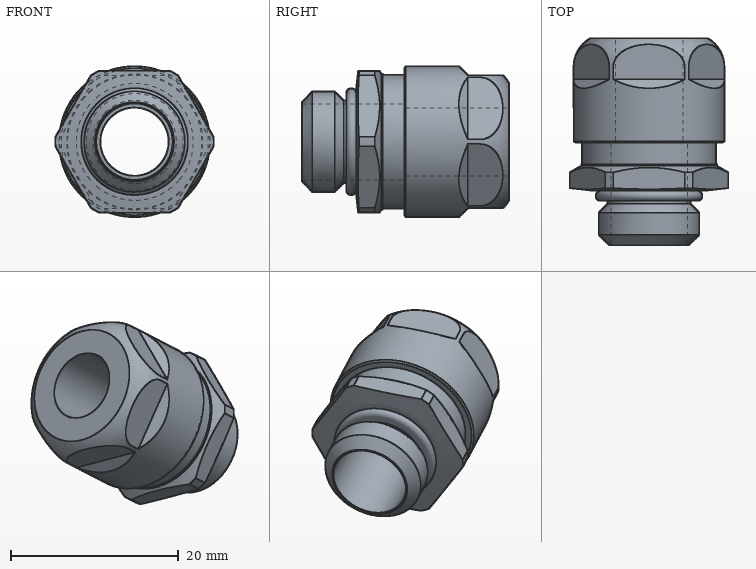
import cadquery as cq
import math

TIP_CHAMFER_END = 1.24
THREAD_END = 3.9
NECK_START = 4.96
HEX_FACE = 6.5
HEX_RIM_START = 6.82
HEX_RIM_END = 8.7
COLLAR_START = 9.63
NUT_START = 12.23
FLAT_START = 19.78
DOME_START = 21.22
LENGTH = 24.7

TIP_RADIUS = 4.72
THREAD_RADIUS = 12.0 / 2
NECK_RADIUS = 9.93 / 2
COLLAR_RADIUS = 16.0 / 2
NUT_RADIUS = 18.0 / 2
NUT_CHAMFER_WIDTH = 0.25
NUT_CHAMFER_LENGTH = 0.15
NUT_ACROSS_FLATS = 15.85
DOME_ARC_RADIUS = 4.0
HEX_CORNER_RADIUS = 18.9 / 2
HEX_ACROSS_FLATS = 16.9
HEX_FACE_RADIUS = 6.72
HEX_SHOULDER_RADIUS = 8.1
HEX_CHAMFER_ANGLE = 30
RING_OUTER_RADIUS = 6.37
RING_SECTION_RADIUS = 0.605
ENTRY_BORE_RADIUS = 9.1 / 2
THROUGH_BORE_RADIUS = 8.1 / 2

SIDES = 6


def revolve(profile):
    """Turn a half profile, drawn as (radius, y), around the Y axis."""
    return profile.close().revolve(360, (0, 0, 0), (0, 1, 0))


def cylinder(radius, start, end):
    """Cylinder along +Y between two positions."""
    return cq.Workplane("XZ", origin=(0, start, 0)).circle(radius).extrude(start - end)


def make_thread():
    """Thread body with a chamfered tip and an undercut neck."""
    return revolve(
        cq.Workplane("XY")
        .moveTo(0, 0)
        .lineTo(TIP_RADIUS, 0)
        .lineTo(THREAD_RADIUS, TIP_CHAMFER_END)
        .lineTo(THREAD_RADIUS, THREAD_END)
        .lineTo(NECK_RADIUS, NECK_START)
        .lineTo(NECK_RADIUS, HEX_RIM_START)
        .lineTo(0, HEX_RIM_START)
    )


def make_seal_ring():
    """Seal ring against the hexagon face: flat sides and a half-round rim."""
    rim_centre = RING_OUTER_RADIUS - RING_SECTION_RADIUS
    ring_middle = HEX_FACE - RING_SECTION_RADIUS
    ring_start = HEX_FACE - 2 * RING_SECTION_RADIUS
    return revolve(
        cq.Workplane("XY")
        .moveTo(0, ring_start)
        .lineTo(rim_centre, ring_start)
        .threePointArc((RING_OUTER_RADIUS, ring_middle), (rim_centre, HEX_FACE))
        .lineTo(0, HEX_FACE)
    )


def make_hex_flange():
    """Hexagon with rounded corners and a conical chamfer on both faces."""
    chamfer_width = HEX_CORNER_RADIUS - HEX_SHOULDER_RADIUS
    shoulder = HEX_RIM_END + chamfer_width * math.tan(math.radians(HEX_CHAMFER_ANGLE))
    blank = revolve(
        cq.Workplane("XY")
        .moveTo(0, HEX_FACE)
        .lineTo(HEX_FACE_RADIUS, HEX_FACE)
        .lineTo(HEX_CORNER_RADIUS, HEX_RIM_START)
        .lineTo(HEX_CORNER_RADIUS, HEX_RIM_END)
        .lineTo(HEX_SHOULDER_RADIUS, shoulder)
        .lineTo(HEX_SHOULDER_RADIUS, COLLAR_START)
        .lineTo(0, COLLAR_START)
    )
    hexagon = (
        cq.Workplane("XZ")
        .polygon(SIDES, HEX_ACROSS_FLATS, circumscribed=True)
        .extrude(-LENGTH)
        .rotate((0, 0, 0), (0, 1, 0), 180 / SIDES)
    )
    return blank.intersect(hexagon)


def make_nut():
    """Domed cap nut with six wrench flats that run out at 45 degrees."""
    dome_height = LENGTH - DOME_START
    arc_centre = NUT_RADIUS - DOME_ARC_RADIUS
    dome_end_radius = arc_centre + math.sqrt(DOME_ARC_RADIUS**2 - dome_height**2)
    half_sweep = math.asin(dome_height / DOME_ARC_RADIUS) / 2
    dome_middle = (
        arc_centre + DOME_ARC_RADIUS * math.cos(half_sweep),
        DOME_START + DOME_ARC_RADIUS * math.sin(half_sweep),
    )
    nut = revolve(
        cq.Workplane("XY")
        .moveTo(0, NUT_START)
        .lineTo(NUT_RADIUS - NUT_CHAMFER_WIDTH, NUT_START)
        .lineTo(NUT_RADIUS, NUT_START + NUT_CHAMFER_LENGTH)
        .lineTo(NUT_RADIUS, DOME_START)
        .threePointArc(dome_middle, (dome_end_radius, LENGTH))
        .lineTo(0, LENGTH)
    )

    flat = NUT_ACROSS_FLATS / 2
    runout = NUT_RADIUS - flat
    cutter = (
        cq.Workplane("YZ")
        .moveTo(FLAT_START, flat)
        .lineTo(LENGTH, flat)
        .lineTo(LENGTH, flat + 2 * runout)
        .lineTo(FLAT_START - 2 * runout, flat + 2 * runout)
        .close()
        .extrude(NUT_RADIUS, both=True)
    )
    for side in range(SIDES):
        nut = nut.cut(cutter.rotate((0, 0, 0), (0, 1, 0), side * 360 / SIDES))
    return nut


collar = cylinder(COLLAR_RADIUS, HEX_RIM_END, NUT_START)
entry_bore = cylinder(ENTRY_BORE_RADIUS, 0, NUT_START)
through_bore = cylinder(THROUGH_BORE_RADIUS, 0, LENGTH)

result = (
    make_thread()
    .union(make_seal_ring())
    .union(make_hex_flange())
    .union(collar)
    .union(make_nut())
    .cut(entry_bore)
    .cut(through_bore)
)